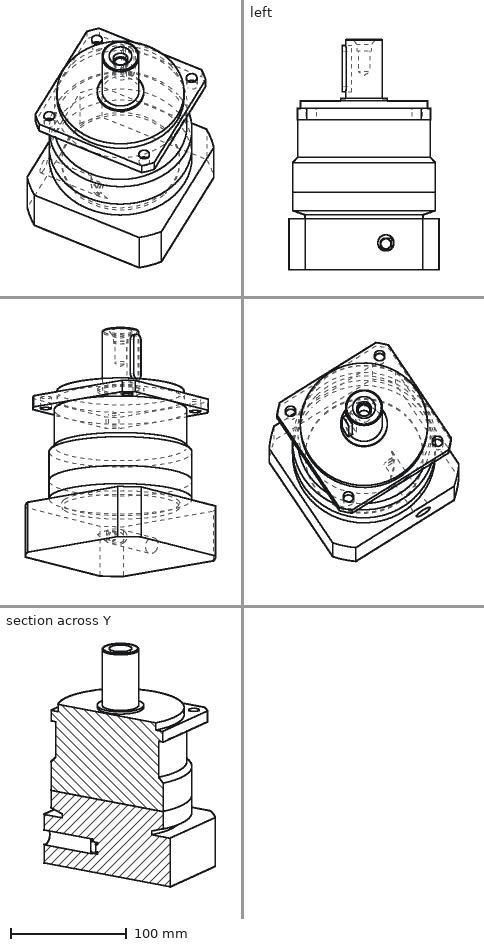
import cadquery as cq
import math

BASE_TOP = 44.3
NECK_TOP = 47.5
LOWER_CONE_TOP = 51.3
SPLIT_HEIGHT = 67.2
UPPER_CONE_BOTTOM = 92.8
UPPER_CONE_TOP = 97.4
FLANGE_BOTTOM = 129.7
FLANGE_TOP = 139.6
PILOT_TOP = 146.2
COLLAR_TOP = 148.2
SHAFT_TOP = 199.5

BASE_WIDTH = 130.0
BASE_CORNER_RADIUS = 82.4
NECK_RADIUS = 51.0
RING_RADIUS = 61.8

ACCESS_RADIUS = 7.0
ACCESS_Z = 23.3
SCREW_Y = -19.0
SCREW_Z = 22.5
HUB_RADIUS = 26.0
RECESS_RADIUS = 5.0
RECESS_FLOOR_X = -10.0
SCREW_HEAD_RADIUS = 4.4
SCREW_HEAD_HEIGHT = 2.0

HOUSING_RADIUS = 57.5
FLANGE_WIDTH = 115.1
FLANGE_CORNER_RADIUS = 76.0
BOLT_SPACING = 91.8
BOLT_HOLE_RADIUS = 4.5
PILOT_RADIUS = 55.0

COLLAR_RADIUS = 20.1
SHAFT_RADIUS = 16.0
SHAFT_CHAMFER = 1.0
COUNTERSINK_RADIUS = 9.8
CENTRE_BORE_RADIUS = 6.4
TAP_DRILL_RADIUS = 5.2
COUNTERSINK_ANGLE = 75.0
DRILL_TIP_ANGLE = 118.0
CENTRE_BORE_DEPTH = 10.0
TAP_DRILL_DEPTH = 28.0

KEY_WIDTH = 10.0
KEY_LENGTH = 40.0
KEY_BOTTOM_Z = 154.0
KEY_INNER_Y = 11.0
KEY_OUTER_Y = 19.0


def cylinder(radius, bottom, top):
    return cq.Workplane("XY").workplane(offset=bottom).circle(radius).extrude(top - bottom)


def revolve_profile(points):
    """Turn a closed (radius, height) outline about the Z axis."""
    return cq.Workplane("XZ").polyline(points).close().revolve(360, (0, 0, 0), (0, 1, 0))


def turned_square(width, corner_radius, bottom, top):
    """Square plate whose corners are turned to a circle about the Z axis."""
    height = top - bottom
    square = cq.Workplane("XY").workplane(offset=bottom).rect(width, width).extrude(height)
    return square.intersect(cylinder(corner_radius, bottom, top))


def x_cylinder(radius, centre_z, start_x, end_x):
    """Cylinder along X in the vertical plane of the clamping screw."""
    return cq.Workplane("YZ", origin=(start_x, SCREW_Y, centre_z)).circle(radius).extrude(end_x - start_x)


def make_access_hole():
    """Hole that ends on the round wall of the clamping hub and on the screw head sunk into that wall."""
    hub = cylinder(HUB_RADIUS, 0, BASE_TOP)
    drilled_hole = x_cylinder(ACCESS_RADIUS, ACCESS_Z, -BASE_WIDTH / 2, 0)
    recess_end = x_cylinder(RECESS_RADIUS, SCREW_Z, -BASE_WIDTH / 2, RECESS_FLOOR_X)
    recess_mouth = (
        cq.Workplane("YZ", origin=(-BASE_WIDTH / 2, SCREW_Y - ACCESS_RADIUS / 2, SCREW_Z))
        .rect(ACCESS_RADIUS, 2 * RECESS_RADIUS)
        .extrude(BASE_WIDTH / 2 + RECESS_FLOOR_X)
    )
    recess = recess_end.union(recess_mouth).intersect(drilled_hole)
    screw_head = x_cylinder(SCREW_HEAD_RADIUS, SCREW_Z, RECESS_FLOOR_X - SCREW_HEAD_HEIGHT, RECESS_FLOOR_X)
    return drilled_hole.cut(hub).union(recess).cut(screw_head)


def make_adapter():
    base = turned_square(BASE_WIDTH, BASE_CORNER_RADIUS, 0, BASE_TOP)
    ring = revolve_profile([
        (0, BASE_TOP),
        (NECK_RADIUS, BASE_TOP),
        (NECK_RADIUS, NECK_TOP),
        (RING_RADIUS, LOWER_CONE_TOP),
        (RING_RADIUS, SPLIT_HEIGHT),
        (0, SPLIT_HEIGHT),
    ])
    return base.union(ring).cut(make_access_hole())


def make_housing():
    body = revolve_profile([
        (0, SPLIT_HEIGHT),
        (RING_RADIUS, SPLIT_HEIGHT),
        (RING_RADIUS, UPPER_CONE_BOTTOM),
        (HOUSING_RADIUS, UPPER_CONE_TOP),
        (HOUSING_RADIUS, FLANGE_BOTTOM),
        (0, FLANGE_BOTTOM),
    ])
    flange = turned_square(FLANGE_WIDTH, FLANGE_CORNER_RADIUS, FLANGE_BOTTOM, FLANGE_TOP)
    bolt_holes = (
        cq.Workplane("XY")
        .workplane(offset=FLANGE_BOTTOM)
        .rect(BOLT_SPACING, BOLT_SPACING, forConstruction=True)
        .vertices()
        .circle(BOLT_HOLE_RADIUS)
        .extrude(FLANGE_TOP - FLANGE_BOTTOM)
    )
    pilot = cylinder(PILOT_RADIUS, FLANGE_TOP, PILOT_TOP)
    return body.union(flange.cut(bolt_holes)).union(pilot)


def make_key():
    """Key standing along Z, with its flat faces towards -Y and +Y."""
    centre_z = KEY_BOTTOM_Z + KEY_LENGTH / 2
    plane = cq.Workplane("XZ", origin=(0, KEY_OUTER_Y, centre_z))
    return plane.slot2D(KEY_LENGTH, KEY_WIDTH, 90).extrude(KEY_OUTER_Y - KEY_INNER_Y)


def make_centre_hole():
    """Countersunk, stepped centre hole with a conical drill tip."""
    countersink_width = COUNTERSINK_RADIUS - CENTRE_BORE_RADIUS
    countersink_depth = countersink_width / math.tan(math.radians(COUNTERSINK_ANGLE / 2))
    tip_depth = TAP_DRILL_RADIUS / math.tan(math.radians(DRILL_TIP_ANGLE / 2))
    return revolve_profile([
        (0, SHAFT_TOP),
        (COUNTERSINK_RADIUS, SHAFT_TOP),
        (CENTRE_BORE_RADIUS, SHAFT_TOP - countersink_depth),
        (CENTRE_BORE_RADIUS, SHAFT_TOP - CENTRE_BORE_DEPTH),
        (TAP_DRILL_RADIUS, SHAFT_TOP - CENTRE_BORE_DEPTH),
        (TAP_DRILL_RADIUS, SHAFT_TOP - TAP_DRILL_DEPTH),
        (0, SHAFT_TOP - TAP_DRILL_DEPTH - tip_depth),
    ])


def make_shaft(key):
    collar = cylinder(COLLAR_RADIUS, PILOT_TOP, COLLAR_TOP)
    bar = cylinder(SHAFT_RADIUS, PILOT_TOP, SHAFT_TOP).faces(">Z").edges().chamfer(SHAFT_CHAMFER)
    return collar.union(bar).cut(make_centre_hole()).cut(key)


adapter = make_adapter()
housing = make_housing()
key = make_key()
shaft = make_shaft(key)

result = cq.Compound.makeCompound([adapter.val(), housing.val(), shaft.val(), key.val()])